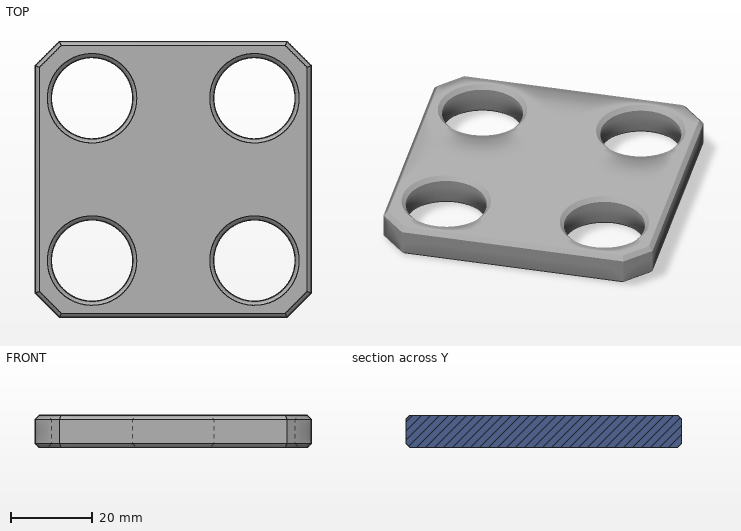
import cadquery as cq

side = 68.0
thickness = 8.0
corner_cut = 6.0
edge_chamfer = 1.0
hole_diameter = 20.0
hole_spacing = 40.0


def make_plate():
    """Square plate with cut corners and bevelled top and bottom rims."""
    plate = cq.Workplane("XY").box(side, side, thickness)
    plate = plate.edges("|Z").chamfer(corner_cut)
    return plate.faces("<Z or >Z").edges().chamfer(edge_chamfer)


def make_hole_cutter():
    """Through-hole cylinder that flares into a countersink at both faces."""
    radius = hole_diameter / 2
    rim_radius = radius + edge_chamfer
    half = thickness / 2
    straight_half = half - edge_chamfer
    profile = [
        (0, -half),
        (rim_radius, -half),
        (radius, -straight_half),
        (radius, straight_half),
        (rim_radius, half),
        (0, half),
    ]
    return cq.Workplane("XZ").polyline(profile).close().revolve(360, (0, 0), (0, 1))


result = make_plate()
hole_cutter = make_hole_cutter()
for x_sign in (-1, 1):
    for y_sign in (-1, 1):
        hole_center = (x_sign * hole_spacing / 2, y_sign * hole_spacing / 2, 0)
        result = result.cut(hole_cutter.translate(hole_center))